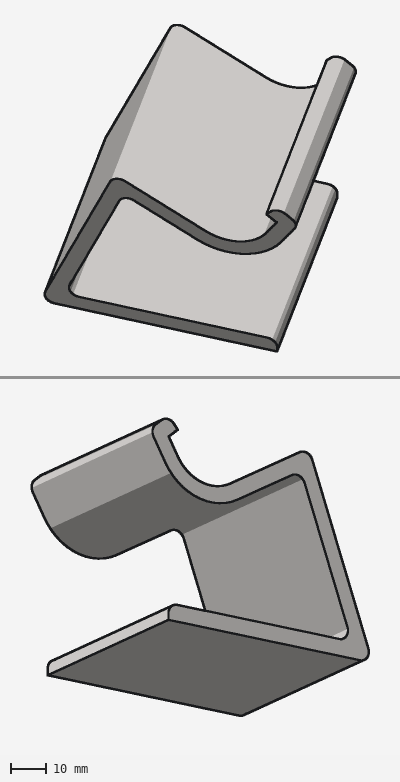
import cadquery as cq
import math

depth = 61.0
wall = 5.0
corner_radius = 3.0
foot_end = 68.55
back_angle = 70
seat_angle = -30
cup_wall_angle = 60
lip_angle = 140
cup_radius = 13.0
cup_center = (54, 55.75)
cup_wall_length = 6.2
lip_length = 4.0


def direction(angle):
    """Unit vector at an angle in degrees in the XZ plane."""
    return math.cos(math.radians(angle)), math.sin(math.radians(angle))


def move(point, angle, distance):
    """Point reached by travelling a distance at an angle."""
    dx, dz = direction(angle)
    return point[0] + distance * dx, point[1] + distance * dz


def crossing(point_a, angle_a, point_b, angle_b):
    """Intersection of two lines, each given by a point and an angle."""
    ax, az = direction(angle_a)
    bx, bz = direction(angle_b)
    gap_x = point_b[0] - point_a[0]
    gap_z = point_b[1] - point_a[1]
    distance = (gap_x * bz - gap_z * bx) / (ax * bz - az * bx)
    return move(point_a, angle_a, distance)


def cup_points(radius):
    """Start, middle and end of the cup arc, tangent to the seat and the cup wall."""
    middle_angle = (seat_angle + cup_wall_angle) / 2
    return [move(cup_center, angle - 90, radius) for angle in (seat_angle, middle_angle, cup_wall_angle)]


heel_outer = (corner_radius - corner_radius / math.tan(math.radians(back_angle / 2)), 0)
back_inner = move(heel_outer, back_angle - 90, wall)
heel_inner = crossing(back_inner, back_angle, (0, wall), 0)

inside_start, inside_middle, inside_end = cup_points(cup_radius)
outside_start, outside_middle, outside_end = cup_points(cup_radius + wall)
shoulder_outer = crossing(heel_outer, back_angle, inside_start, seat_angle)
shoulder_inner = crossing(back_inner, back_angle, outside_start, seat_angle)

lip_root = move(inside_end, cup_wall_angle, cup_wall_length)
lip_tip = move(lip_root, lip_angle, lip_length)
lip_top = move(lip_tip, lip_angle - 90, wall)
lip_outer = crossing(lip_top, lip_angle, outside_end, cup_wall_angle)

foot_top = (foot_end, wall)

profile = (
    cq.Workplane("XZ")
    .moveTo(*heel_outer)
    .lineTo(*shoulder_outer)
    .lineTo(*inside_start)
    .threePointArc(inside_middle, inside_end)
    .lineTo(*lip_root)
    .lineTo(*lip_tip)
    .lineTo(*lip_top)
    .lineTo(*lip_outer)
    .lineTo(*outside_end)
    .threePointArc(outside_middle, outside_start)
    .lineTo(*shoulder_inner)
    .lineTo(*heel_inner)
    .lineTo(*foot_top)
    .lineTo(foot_end, 0)
    .close()
)
result = profile.extrude(-depth)

for x, z in (heel_outer, heel_inner, shoulder_outer, shoulder_inner, lip_top, lip_outer, foot_top):
    corner_edge = cq.selectors.NearestToPointSelector((x, depth / 2, z))
    result = result.edges("|Y").edges(corner_edge).fillet(corner_radius)